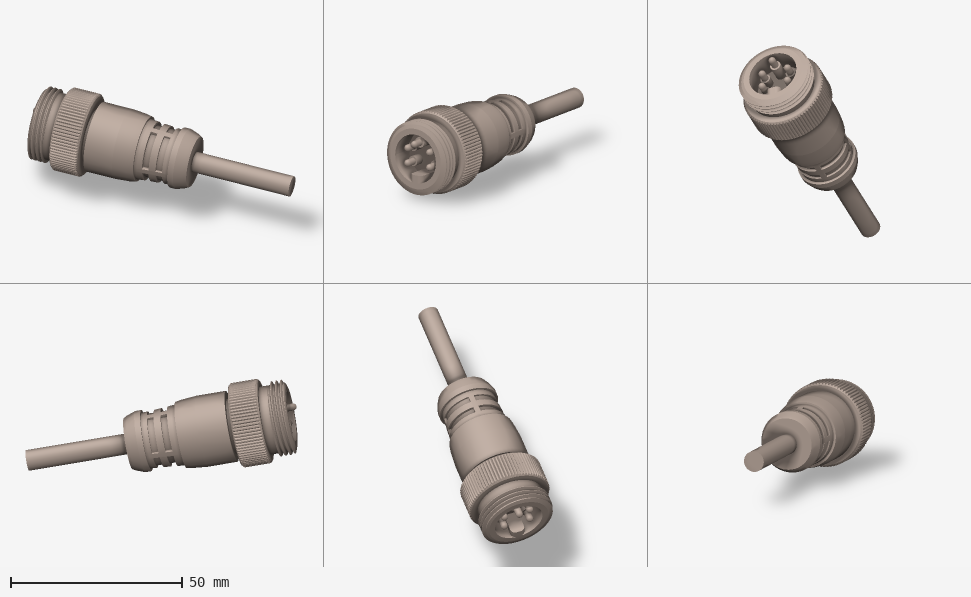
import cadquery as cq
import math


sleeve_front = 1.5
thread_end = 6.5
ring_start = 9.2
ring_end = 18.1
body_start = 19.35
body_taper_start = 28.2
body_end = 34.45
flange_start = 44.8
flange_end = 46.6
tail_end = 50.2
cable_end = 80.3

sleeve_radius = 10.0
bore_radius = 7.4
neck_radius = 8.1
body_radius = 10.5
body_end_radius = 9.8
relief_front_radius = 9.1
relief_mid_radius = 8.6
relief_rear_radius = 8.3
flange_radius = 9.1
tail_mid_radius = 8.5
tail_radius = 7.6
cable_radius = 3.05

thread_pitch = 1.45
thread_crest_radius = 11.1
thread_root_width = 1.3
thread_crest_width = 0.2
thread_overlap = 0.25
thread_clearance = 0.1
front_chamfer = 0.9
front_chamfer_length = 0.3

ring_radius = 25.0 / 2
tooth_count = 80
tooth_depth = 0.4
tooth_crest_fraction = 0.4
ring_chamfer = 0.6

bore_depth = 6.9
bore_floor = sleeve_front + bore_depth
pin_circle_radius = 4.6
pin_angles = (30, 150, 210, 330)
pin_tip = 2.1
pin_radius = 1.05
pin_shoulder_radius = 1.5
pin_shoulder = 5.6
ground_angle = 90
ground_tip = 0.0
ground_shoulder = 3.5
ground_shoulder_radius = 1.6

key_width = 4.25
key_top = -5.0
key_round = 1.45
key_overlap = 0.4

window_starts = (36.85, 40.95)
window_width = 2.0
window_floor_radius = 7.7
rib_width = 1.6


def disc(start, end, radius):
    """Cylinder about X between two stations."""
    return cq.Workplane("YZ").workplane(offset=start).circle(radius).extrude(end - start)


def revolve_about_x(profile):
    """Turn a closed XY outline about the X axis."""
    return profile.close().revolve(360, (0, 0, 0), (1, 0, 0))


def turned_body():
    """Sleeve, neck, overmoulded grip, strain relief and cable as one turning."""
    return revolve_about_x(
        cq.Workplane("XY")
        .moveTo(sleeve_front, 0)
        .lineTo(sleeve_front, sleeve_radius - front_chamfer)
        .lineTo(sleeve_front + front_chamfer_length, sleeve_radius)
        .lineTo(ring_start, sleeve_radius)
        .lineTo(ring_start, neck_radius)
        .lineTo(body_start, neck_radius)
        .lineTo(body_start, body_radius)
        .lineTo(body_taper_start, body_radius)
        .tangentArcPoint((body_end, body_end_radius), relative=False)
        .lineTo(body_end, relief_front_radius)
        .threePointArc(
            ((body_end + flange_start) / 2, relief_mid_radius),
            (flange_start, relief_rear_radius),
        )
        .lineTo(flange_start, flange_radius)
        .lineTo(flange_end, flange_radius)
        .threePointArc(
            ((flange_end + tail_end) / 2, tail_mid_radius),
            (tail_end, tail_radius),
        )
        .lineTo(tail_end, cable_radius)
        .lineTo(cable_end, cable_radius)
        .lineTo(cable_end, 0)
    )


def thread():
    """Right-hand helical ridge, trimmed square at both ends of the thread."""
    inner_radius = sleeve_radius - thread_overlap
    start = sleeve_front - thread_pitch / 2
    length = thread_end - start + thread_pitch
    path = cq.Wire.makeHelix(thread_pitch, length, inner_radius)
    ridge = (
        cq.Workplane("XZ")
        .moveTo(inner_radius, -thread_root_width / 2)
        .lineTo(thread_crest_radius, -thread_crest_width / 2)
        .lineTo(thread_crest_radius, thread_crest_width / 2)
        .lineTo(inner_radius, thread_root_width / 2)
        .close()
        .sweep(cq.Workplane(path), isFrenet=True)
        .rotate((0, 0, 0), (0, 1, 0), 90)
        .translate((start, 0, 0))
    )
    chamfer_slope = front_chamfer / front_chamfer_length
    envelope_radius = thread_crest_radius + thread_clearance
    lead_in = (envelope_radius - sleeve_radius + front_chamfer) / chamfer_slope
    envelope = revolve_about_x(
        cq.Workplane("XY")
        .moveTo(sleeve_front, 0)
        .lineTo(sleeve_front, sleeve_radius - front_chamfer)
        .lineTo(sleeve_front + lead_in, envelope_radius)
        .lineTo(thread_end, envelope_radius)
        .lineTo(thread_end, 0)
    )
    return ridge.intersect(envelope)


def knurled_ring():
    """Coupling ring with flat-topped teeth between V grooves and chamfered ends."""
    root_radius = ring_radius - tooth_depth
    tooth_angle = 2 * math.pi / tooth_count
    crest_angle = tooth_crest_fraction * tooth_angle
    outline = []
    for index in range(tooth_count):
        root = index * tooth_angle
        crest_middle = root + tooth_angle / 2
        for radius, angle in (
            (root_radius, root),
            (ring_radius, crest_middle - crest_angle / 2),
            (ring_radius, crest_middle + crest_angle / 2),
        ):
            outline.append((radius * math.cos(angle), radius * math.sin(angle)))
    teeth = (
        cq.Workplane("YZ")
        .workplane(offset=ring_start)
        .polyline(outline)
        .close()
        .extrude(ring_end - ring_start)
    )
    blank = disc(ring_start, ring_end, ring_radius).faces("<X or >X").chamfer(ring_chamfer)
    return teeth.intersect(blank)


def pin(angle, tip, shoulder, shoulder_radius):
    """Round-nosed contact pin standing on the bore floor."""
    y = pin_circle_radius * math.cos(math.radians(angle))
    z = pin_circle_radius * math.sin(math.radians(angle))
    nose = cq.Workplane("YZ").sphere(pin_radius).translate((tip + pin_radius, 0, 0))
    shaft = disc(tip + pin_radius, bore_floor, pin_radius)
    base = disc(shoulder, bore_floor, shoulder_radius)
    return nose.union(shaft).union(base).translate((0, y, z))


def key():
    """Polarising key along the bottom of the bore with a rounded front."""
    depth = bore_radius + key_overlap + key_top
    block = (
        cq.Workplane("XY")
        .box(bore_depth, key_width, depth, centered=(False, True, False))
        .edges("|Z and <X")
        .fillet(key_round)
        .translate((sleeve_front, 0, key_top - depth))
    )
    limit = disc(sleeve_front, bore_floor, bore_radius + key_overlap)
    return block.intersect(limit)


def relief_window_ring(start):
    """One ring groove, split into four windows by ribs on the Y and Z axes."""
    end = start + window_width
    ring = disc(start, end, body_radius).cut(disc(start, end, window_floor_radius))
    rib = (
        cq.Workplane("XY")
        .box(window_width, 2 * body_radius, rib_width, centered=(False, True, True))
        .translate((start, 0, 0))
    )
    return ring.cut(rib).cut(rib.rotate((0, 0, 0), (1, 0, 0), 90))


bore = disc(sleeve_front, bore_floor, bore_radius)
result = turned_body().union(thread()).union(knurled_ring()).cut(bore).union(key())
for pin_angle in pin_angles:
    result = result.union(pin(pin_angle, pin_tip, pin_shoulder, pin_shoulder_radius))
result = result.union(pin(ground_angle, ground_tip, ground_shoulder, ground_shoulder_radius))
for window_start in window_starts:
    result = result.cut(relief_window_ring(window_start))